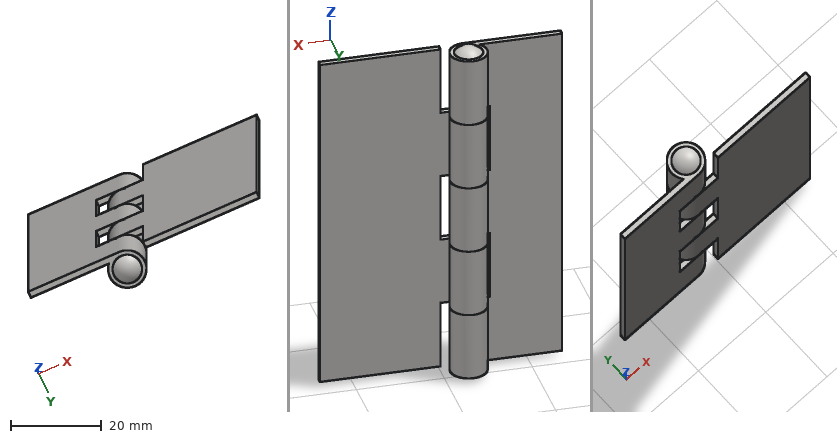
import cadquery as cq

pin_length = 83.0
leaf_height = 80.0
hinge_width = 55.0
leaf_thickness = 1.5
barrel_diameter = 8.5
barrel_wall = 1.0
knuckle_gap = 1.4
axis_to_left_edge = 22.0
knuckle_count = 5

barrel_radius = barrel_diameter / 2
pin_radius = barrel_radius - barrel_wall
knuckle_height = leaf_height / knuckle_count
notch_reach = barrel_radius + knuckle_gap
dome_height = (pin_length - leaf_height) / 2
axis_to_right_edge = hinge_width - axis_to_left_edge


def box_between(x_start, x_end, z_bottom, height):
    """Plate section lying tangent to the -Y side of the barrel."""
    return cq.Workplane("XY").box(
        x_end - x_start, leaf_thickness, height, centered=False
    ).translate((x_start, -barrel_radius, z_bottom))


def make_leaf(side, edge_distance, knuckle_indices):
    """Plate on one side (-1 left, +1 right) with knuckles at the given levels."""
    x_start, x_end = sorted((side * notch_reach, side * edge_distance))
    leaf = box_between(x_start, x_end, -leaf_height / 2, leaf_height)
    tab_start, tab_end = sorted((0, side * notch_reach))
    for index in knuckle_indices:
        z_bottom = -leaf_height / 2 + index * knuckle_height
        tab = box_between(tab_start, tab_end, z_bottom, knuckle_height)
        barrel = (
            cq.Workplane("XY", origin=(0, 0, z_bottom))
            .circle(barrel_radius)
            .extrude(knuckle_height)
        )
        leaf = leaf.union(tab).union(barrel)
    pin_hole = cq.Workplane("XY").circle(pin_radius).extrude(leaf_height / 2, both=True)
    return leaf.cut(pin_hole)


def make_pin():
    """Round pin with a shallow spherical dome beyond each end of the barrel."""
    shoulder = leaf_height / 2
    tip = pin_length / 2
    dome_radius = (pin_radius**2 + dome_height**2) / (2 * dome_height)
    dome_centre = tip - dome_radius
    mid_x = pin_radius / 2
    mid_z = dome_centre + (dome_radius**2 - mid_x**2) ** 0.5
    return (
        cq.Workplane("XZ")
        .moveTo(0, -tip)
        .threePointArc((mid_x, -mid_z), (pin_radius, -shoulder))
        .lineTo(pin_radius, shoulder)
        .threePointArc((mid_x, mid_z), (0, tip))
        .close()
        .revolve(360, (0, 0), (0, 1))
    )


left_leaf = make_leaf(-1, axis_to_left_edge, range(0, knuckle_count, 2))
right_leaf = make_leaf(1, axis_to_right_edge, range(1, knuckle_count, 2))
pin = make_pin()

result = cq.Compound.makeCompound([left_leaf.val(), right_leaf.val(), pin.val()])